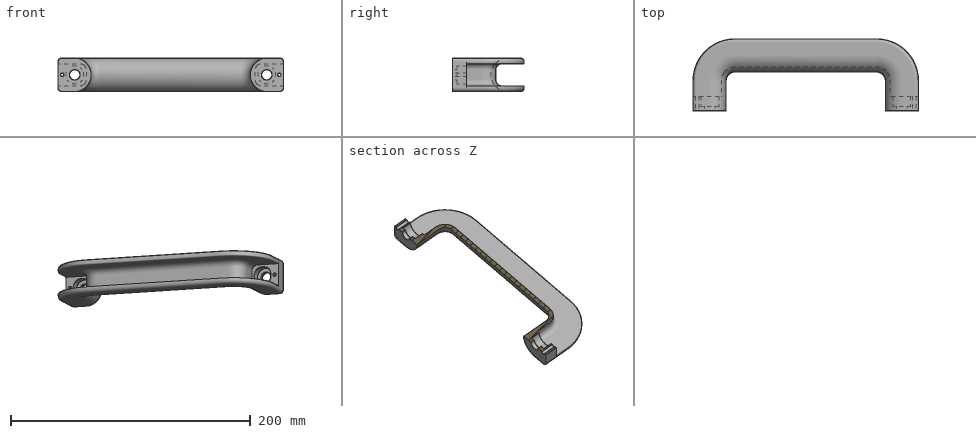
import cadquery as cq

length = 188.0
height = 60.0
thickness = 28.0
bar_depth = 27.7
bend_center_y = 25.0
edge_radius = 3.0

channel_width = 18.4
channel_floor = 4.1
channel_corner = 5.0
mouth_radius = 1.0
foot_height = 12.0

mount_hole_diameter = 8.5
counterbore_diameter = 15.0
seat_thickness = 3.75
pin_hole_diameter = 2.7
pin_hole_inset = 3.5

tolerance = 1e-3

half_length = length / 2
half_thickness = thickness / 2
mount_hole_inset = half_thickness
outer_bend_radius = height - bend_center_y
bend_center_x = half_length - outer_bend_radius
channel_depth = bar_depth - channel_floor


def handle_path(inset, start_y):
    """U-shaped path lying a given inset inside the outer outline of the handle."""
    side_x = half_length - inset
    back_y = height - inset
    radius = outer_bend_radius - inset
    return (
        cq.Workplane("XY")
        .moveTo(-side_x, start_y)
        .lineTo(-side_x, bend_center_y)
        .radiusArc((-bend_center_x, back_y), radius)
        .lineTo(bend_center_x, back_y)
        .radiusArc((side_x, bend_center_y), radius)
        .lineTo(side_x, start_y)
    )


def section_plane(start_y):
    """Section plane across the left leg: local x runs inward, local y is Z."""
    return cq.Workplane(cq.Plane((-half_length, start_y, 0), (1, 0, 0), (0, -1, 0)))


def bar():
    """D-shaped section, flat outside and round inside, swept along the handle."""
    section = (
        section_plane(0)
        .moveTo(edge_radius, -half_thickness)
        .lineTo(half_thickness, -half_thickness)
        .threePointArc((bar_depth, 0), (half_thickness, half_thickness))
        .lineTo(edge_radius, half_thickness)
        .radiusArc((0, half_thickness - edge_radius), -edge_radius)
        .lineTo(0, edge_radius - half_thickness)
        .radiusArc((edge_radius, -half_thickness), -edge_radius)
        .close()
    )
    return section.sweep(handle_path(half_thickness, 0))


def channel():
    """Channel open to the outside of the handle, with a rounded floor."""
    half_width = channel_width / 2
    corner_start = channel_depth - channel_corner
    section = (
        section_plane(foot_height)
        .moveTo(0, -half_width)
        .lineTo(corner_start, -half_width)
        .radiusArc((channel_depth, channel_corner - half_width), -channel_corner)
        .lineTo(channel_depth, half_width - channel_corner)
        .radiusArc((corner_start, half_width), -channel_corner)
        .lineTo(0, half_width)
        .close()
    )
    return section.sweep(handle_path(half_thickness, foot_height))


def on_outer_face(point):
    """Whether a point of the handle lies on the outer side of a leg or on the grip back."""
    on_leg_side = abs(abs(point.x) - half_length) < tolerance
    on_grip_back = abs(point.y - height) < tolerance
    return on_leg_side or on_grip_back


def is_mouth_edge(edge):
    """Whether an edge is one of the long edges of the channel mouth."""
    ends = (edge.startPoint(), edge.endPoint())
    return all(
        on_outer_face(end) and abs(end.z - edge.Center().z) < tolerance
        and abs(abs(end.z) - channel_width / 2) < tolerance
        for end in ends
    )


def foot_holes(diameter, inset, start_y):
    """Pair of holes through the feet, from a given height up into the channel."""
    x = half_length - inset
    return (
        cq.Workplane("XZ", origin=(0, start_y, 0))
        .pushPoints([(-x, 0), (x, 0)])
        .circle(diameter / 2)
        .extrude(start_y - foot_height)
    )


handle = bar().cut(channel())
result = (
    handle.edges().filter(is_mouth_edge).fillet(mouth_radius)
    .cut(foot_holes(mount_hole_diameter, mount_hole_inset, 0))
    .cut(foot_holes(counterbore_diameter, mount_hole_inset, seat_thickness))
    .cut(foot_holes(pin_hole_diameter, pin_hole_inset, 0))
)